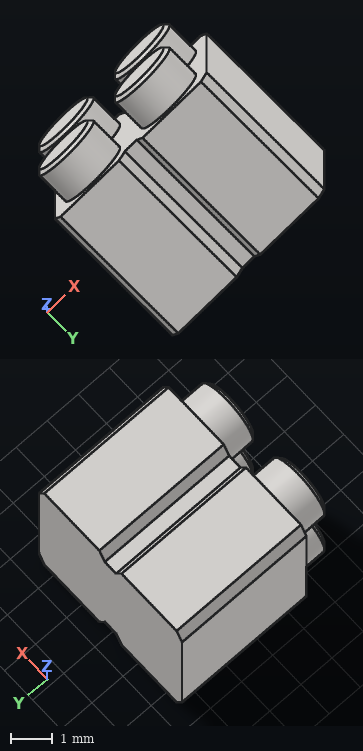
import cadquery as cq

side = 5.08
block_length = 4.0
half = side / 2

cut_depth = 0.4
cut_run = 0.195
groove_floor_width = 0.4

peg_pitch = side / 2
peg_diameter = 1.83
peg_height = 1.0
peg_chamfer = 0.1

block_front = -(block_length + peg_height) / 2 + peg_height


def make_block():
    """Prism with bevelled corners and a groove in the top and bottom faces."""
    shoulder = half - cut_depth
    floor_half = groove_floor_width / 2
    top_edge = [
        (-half, shoulder),
        (-half + cut_run, half),
        (-floor_half - cut_run, half),
        (-floor_half, shoulder),
        (floor_half, shoulder),
        (floor_half + cut_run, half),
        (half - cut_run, half),
        (half, shoulder),
    ]
    bottom_edge = [(x, -z) for x, z in reversed(top_edge)]
    return (
        cq.Workplane("XZ", origin=(0, block_front, 0))
        .polyline(top_edge + bottom_edge)
        .close()
        .extrude(-block_length)
    )


def make_pegs():
    """Two by two round pegs with chamfered free ends."""
    return (
        cq.Workplane("XZ", origin=(0, block_front, 0))
        .rarray(peg_pitch, peg_pitch, 2, 2)
        .circle(peg_diameter / 2)
        .extrude(peg_height)
        .faces("<Y")
        .edges()
        .chamfer(peg_chamfer)
    )


result = make_block().union(make_pegs())